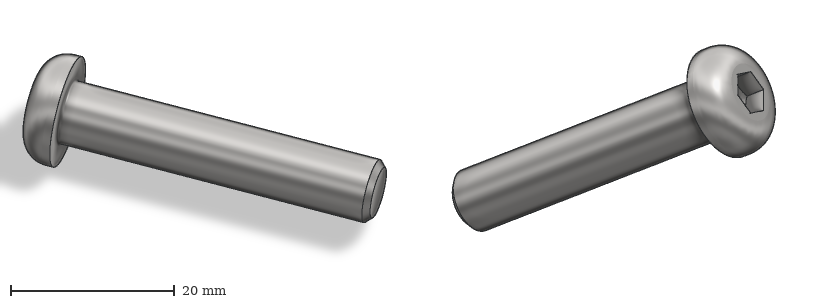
import cadquery as cq
import math

total_length = 44.4
head_diameter = 14.0
head_height = 4.4
rim_width = 0.98
crown_flat_diameter = 7.35
shank_diameter = 8.0
tip_chamfer = 0.8
neck_fillet = 0.4
socket_across_flats = 5.0
socket_depth = 2.6
socket_cone_angle = 120.0

head_radius = head_diameter / 2
crown_flat_radius = crown_flat_diameter / 2
shank_radius = shank_diameter / 2
dome_height = head_height - rim_width

radial_rise = head_radius - crown_flat_radius
dome_radius = (radial_rise**2 + dome_height**2) / (2 * radial_rise)
dome_center_radius = head_radius - dome_radius
half_sweep = math.asin(dome_height / dome_radius) / 2
dome_middle = (
    dome_height - dome_radius * math.sin(half_sweep),
    dome_center_radius + dome_radius * math.cos(half_sweep),
)

fillet_reach = neck_fillet * (1 - math.sqrt(0.5))
neck_middle = (head_height + fillet_reach, shank_radius + fillet_reach)


def screw_body():
    """Revolved head and shank."""
    return (
        cq.Workplane("XY")
        .lineTo(0, crown_flat_radius)
        .threePointArc(dome_middle, (dome_height, head_radius))
        .lineTo(head_height, head_radius)
        .lineTo(head_height, shank_radius + neck_fillet)
        .threePointArc(neck_middle, (head_height + neck_fillet, shank_radius))
        .lineTo(total_length - tip_chamfer, shank_radius)
        .lineTo(total_length, shank_radius - tip_chamfer)
        .lineTo(total_length, 0)
        .close()
        .revolve(360, (0, 0, 0), (1, 0, 0))
    )


def hex_socket():
    """Hexagonal recess with corners on +Z and -Z and a conical bottom."""
    corner_radius = socket_across_flats / math.sqrt(3)
    cone_depth = corner_radius / math.tan(math.radians(socket_cone_angle / 2))
    full_depth = socket_depth + cone_depth
    hexagon = (
        cq.Workplane("YZ")
        .transformed(rotate=(0, 0, 90))
        .polygon(6, 2 * corner_radius)
        .extrude(full_depth)
    )
    drill_point = (
        cq.Workplane("XY")
        .lineTo(0, corner_radius)
        .lineTo(socket_depth, corner_radius)
        .lineTo(full_depth, 0)
        .close()
        .revolve(360, (0, 0, 0), (1, 0, 0))
    )
    return hexagon.intersect(drill_point)


result = screw_body().cut(hex_socket())